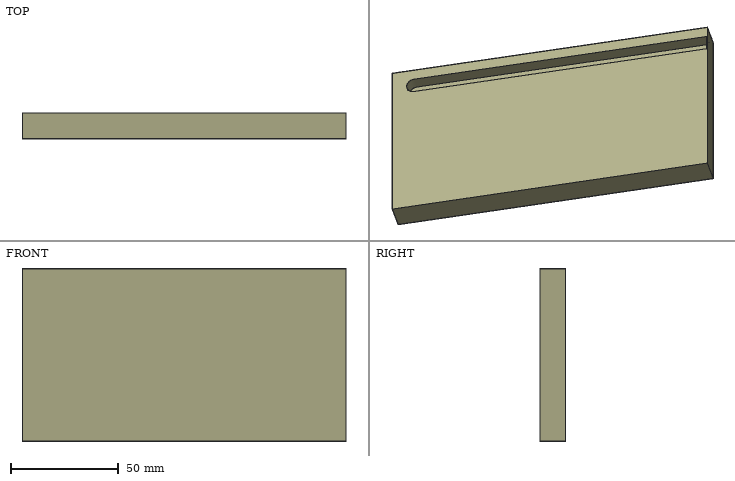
import cadquery as cq

length = 150.0
thickness = 12.0
height = 80.0

slot_depth = thickness / 2
slot_height = 7.2
slot_top_margin = 5.4
slot_end_wall = 0.5
slot_round_center_x = 64.5

slot_radius = slot_height / 2
slot_start_x = slot_end_wall - length / 2
slot_center_z = height / 2 - slot_top_margin - slot_radius
slot_floor_y = thickness / 2 - slot_depth


def make_plate():
    """Plain rectangular plate centred on the origin."""
    return cq.Workplane("XY").box(length, thickness, height)


def make_slot():
    """Cutter that fills the slot from its floor to the back face."""
    top_z = slot_center_z + slot_radius
    bottom_z = slot_center_z - slot_radius
    return (
        cq.Workplane("XZ", origin=(0, slot_floor_y, 0))
        .moveTo(slot_start_x, bottom_z)
        .lineTo(slot_round_center_x, bottom_z)
        .threePointArc(
            (slot_round_center_x + slot_radius, slot_center_z),
            (slot_round_center_x, top_z),
        )
        .lineTo(slot_start_x, top_z)
        .close()
        .extrude(-slot_depth)
    )


result = make_plate().cut(make_slot())